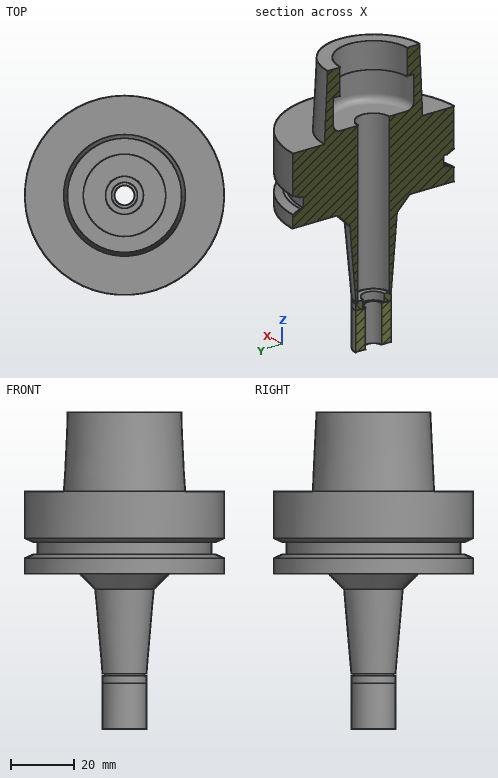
import cadquery as cq

TOTAL_HEIGHT = 100.0

TIP_RADIUS = 7.0
TIP_HEIGHT = 14.5
TIP_BORE_RADIUS = 3.1

COLLAR_RADIUS = 7.0
COLLAR_HEIGHT = 2.3
COLLAR_BORE_RADIUS = 4.1
NECK_RADIUS = 6.3
NECK_HEIGHT = 0.7

NOSE_END_RADIUS = 7.0
NOSE_ROOT_RADIUS = 9.3
NOSE_CONE_TOP = 44.2
NOSE_SHOULDER_HEIGHT = 4.8
NOSE_SHOULDER_RADIUS = NOSE_ROOT_RADIUS + NOSE_SHOULDER_HEIGHT
FLANGE_RADIUS = 31.5
FLANGE_HEIGHT = 26.0
LOWER_RIM_HEIGHT = 4.9
GROOVE_BEVEL_HEIGHT = 1.3
GROOVE_BEVEL_WIDTH = 2.8
GROOVE_FLOOR_RADIUS = 27.5
GROOVE_WIDTH = 3.8
SHANK_ROOT_RADIUS = 19.2
SHANK_TOP_RADIUS = 18.0

SOCKET_RADIUS = 13.0
SOCKET_LIP_DEPTH = 10.0
SOCKET_RELIEF_RADIUS = 15.6
SOCKET_CORNER_RADIUS = 2.5
SOCKET_DEPTH = 21.9
HOLDER_BORE_RADIUS = 6.0

COLLAR_BOTTOM = TIP_HEIGHT
NECK_BOTTOM = COLLAR_BOTTOM + COLLAR_HEIGHT
HOLDER_BOTTOM = NECK_BOTTOM + NECK_HEIGHT


def revolve_profile(points):
    """Revolve a closed (radius, height) outline around the Z axis."""
    return cq.Workplane("YZ").polyline(points).close().revolve(360, (0, 0), (0, 1))


def make_tip():
    """Plain sleeve at the lower end."""
    return revolve_profile([
        (TIP_BORE_RADIUS, 0),
        (TIP_RADIUS, 0),
        (TIP_RADIUS, TIP_HEIGHT),
        (TIP_BORE_RADIUS, TIP_HEIGHT),
    ])


def make_collar():
    """Ring on top of the tip, with a neck that leaves a narrow gap below the holder."""
    return revolve_profile([
        (COLLAR_BORE_RADIUS, COLLAR_BOTTOM),
        (COLLAR_RADIUS, COLLAR_BOTTOM),
        (COLLAR_RADIUS, NECK_BOTTOM),
        (NECK_RADIUS, NECK_BOTTOM),
        (NECK_RADIUS, HOLDER_BOTTOM),
        (COLLAR_BORE_RADIUS, HOLDER_BOTTOM),
    ])


def make_holder_blank():
    """Solid outside shape of the holder: nose, grooved flange and tapered shank."""
    flange_bottom = NOSE_CONE_TOP + NOSE_SHOULDER_HEIGHT
    flange_top = flange_bottom + FLANGE_HEIGHT
    lower_rim_top = flange_bottom + LOWER_RIM_HEIGHT
    groove_bottom = lower_rim_top + GROOVE_BEVEL_HEIGHT
    groove_top = groove_bottom + GROOVE_WIDTH
    upper_rim_bottom = groove_top + GROOVE_BEVEL_HEIGHT
    groove_edge_radius = FLANGE_RADIUS - GROOVE_BEVEL_WIDTH

    nose = [
        (0, HOLDER_BOTTOM),
        (NOSE_END_RADIUS, HOLDER_BOTTOM),
        (NOSE_ROOT_RADIUS, NOSE_CONE_TOP),
        (NOSE_SHOULDER_RADIUS, flange_bottom),
    ]
    flange = [
        (FLANGE_RADIUS, flange_bottom),
        (FLANGE_RADIUS, lower_rim_top),
        (groove_edge_radius, groove_bottom),
        (GROOVE_FLOOR_RADIUS, groove_bottom),
        (GROOVE_FLOOR_RADIUS, groove_top),
        (groove_edge_radius, groove_top),
        (FLANGE_RADIUS, upper_rim_bottom),
        (FLANGE_RADIUS, flange_top),
    ]
    shank = [
        (SHANK_ROOT_RADIUS, flange_top),
        (SHANK_TOP_RADIUS, TOTAL_HEIGHT),
        (0, TOTAL_HEIGHT),
    ]
    return revolve_profile(nose + flange + shank)


def make_cylinder(radius, bottom, top):
    """Cylinder on the Z axis between two heights."""
    return cq.Workplane("XY", origin=(0, 0, bottom)).circle(radius).extrude(top - bottom)


def make_holder():
    """Holder with its socket and the bore from the socket floor to the nose end."""
    socket_floor = TOTAL_HEIGHT - SOCKET_DEPTH
    relief_top = TOTAL_HEIGHT - SOCKET_LIP_DEPTH

    mouth = make_cylinder(SOCKET_RADIUS, relief_top, TOTAL_HEIGHT)
    relief = make_cylinder(SOCKET_RELIEF_RADIUS, socket_floor, relief_top)
    relief = relief.edges("<Z").fillet(SOCKET_CORNER_RADIUS)
    bore = make_cylinder(HOLDER_BORE_RADIUS, HOLDER_BOTTOM, socket_floor)
    return make_holder_blank().cut(mouth).cut(relief).cut(bore)


tip = make_tip()
collar = make_collar()
holder = make_holder()

result = cq.Compound.makeCompound([tip.val(), collar.val(), holder.val()])